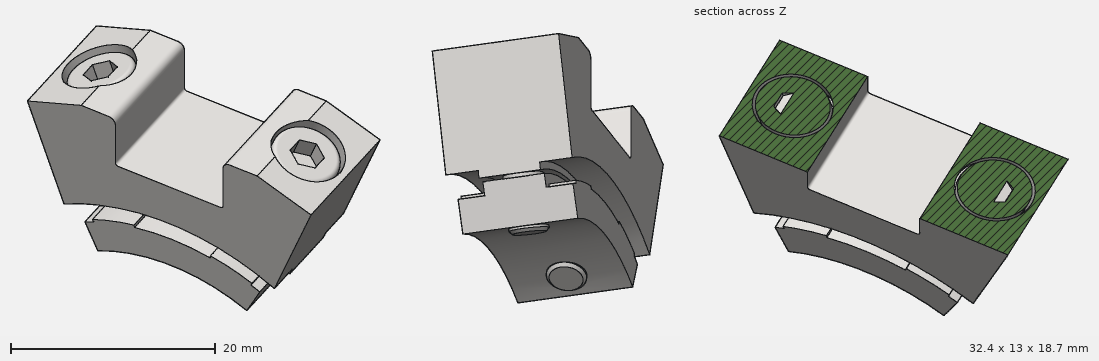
import cadquery as cq
import math

tilt = 20.0
block_width = 32.4
block_depth = 13.0
top_half_width = 10.05
notch_width = 12.28
notch_depth = 6.0
notch_edge_radius = 0.8
notch_corner_radius = 0.3

arc_centre_z = -36.5
block_tongue_radius = 25.0
tongue_step = 0.75
tongue_depth = 6.32
jaw_depth = 11.83
jaw_tongue_radius = 24.57
jaw_ledge_radius = 23.2
jaw_inner_radius = 19.77
jaw_half_angle = 25.5
pad_height = 0.3
pad_start_angle = 10.7
pad_end_angle = 22.8

screw_inset = 4.47
screw_length = 18.02
shank_diameter = 4.0
tip_chamfer = 0.32
head_diameter = 7.0
head_height = shank_diameter
head_edge_radius = 0.5
head_recess = 0.52
socket_width = 3.0
socket_depth = 2.0
counterbore_diameter = 7.5

tilt_rad = math.radians(tilt)
half_width = block_width / 2
shoulder_z = -(half_width - top_half_width) * math.tan(tilt_rad)


def arc_point(radius, angle):
    """Point on a concentric arc, with the angle in degrees from straight up."""
    a = math.radians(angle)
    return radius * math.sin(a), arc_centre_z + radius * math.cos(a)


def extrude_centred(profile, depth):
    return profile.extrude(depth / 2, both=True)


def side_meets_arc(radius):
    """Lower right block corner, where the leaning side reaches an arc."""
    side_offset = half_width * math.cos(tilt_rad) - (shoulder_z - arc_centre_z) * math.sin(tilt_rad)
    angle = math.degrees(math.asin(side_offset / radius)) + tilt
    return arc_point(radius, angle)


def block_slab(bottom_radius, depth):
    corner_x, corner_z = side_meets_arc(bottom_radius)
    profile = (
        cq.Workplane("XZ")
        .moveTo(-top_half_width, 0)
        .lineTo(top_half_width, 0)
        .lineTo(half_width, shoulder_z)
        .lineTo(corner_x, corner_z)
        .threePointArc(arc_point(bottom_radius, 0), (-corner_x, corner_z))
        .lineTo(-half_width, shoulder_z)
        .close()
    )
    return extrude_centred(profile, depth)


def ring_sector(inner_radius, outer_radius, start_angle, end_angle, depth):
    middle_angle = (start_angle + end_angle) / 2
    profile = (
        cq.Workplane("XZ")
        .moveTo(*arc_point(outer_radius, start_angle))
        .threePointArc(arc_point(outer_radius, middle_angle), arc_point(outer_radius, end_angle))
        .lineTo(*arc_point(inner_radius, end_angle))
        .threePointArc(arc_point(inner_radius, middle_angle), arc_point(inner_radius, start_angle))
        .close()
    )
    return extrude_centred(profile, depth)


def make_block():
    block = block_slab(block_tongue_radius + tongue_step, block_depth)
    block = block.union(block_slab(block_tongue_radius, tongue_depth))
    notch = cq.Workplane("XY").box(notch_width, block_depth, 2 * notch_depth)
    notch = notch.edges("|Y and <Z").fillet(notch_corner_radius)
    block = block.cut(notch)
    notch_edges = cq.selectors.BoxSelector(
        (-notch_width / 2 - 0.32, -block_depth, -0.32),
        (notch_width / 2 + 0.32, block_depth, 0.32),
    )
    return block.edges("|Y").edges(notch_edges).fillet(notch_edge_radius)


def make_jaw():
    jaw = ring_sector(jaw_inner_radius, jaw_ledge_radius, -jaw_half_angle, jaw_half_angle, jaw_depth)
    tongue = ring_sector(
        jaw_inner_radius, jaw_tongue_radius, -jaw_half_angle, jaw_half_angle, tongue_depth
    )
    jaw = jaw.union(tongue)
    pad_radius = jaw_ledge_radius + pad_height
    for start, end in ((pad_start_angle, pad_end_angle), (-pad_end_angle, -pad_start_angle)):
        jaw = jaw.union(ring_sector(jaw_inner_radius, pad_radius, start, end, jaw_depth))
    return jaw


def screw_plane(side):
    """Plane of a screw head's top face; side is -1 (left) or 1 (right)."""
    x = half_width - screw_inset * math.cos(tilt_rad) - head_recess * math.sin(tilt_rad)
    z = shoulder_z + screw_inset * math.sin(tilt_rad) - head_recess * math.cos(tilt_rad)
    return cq.Plane(
        origin=(side * x, 0, z),
        xDir=(math.cos(tilt_rad), 0, -side * math.sin(tilt_rad)),
        normal=(side * math.sin(tilt_rad), 0, math.cos(tilt_rad)),
    )


def make_counterbore(plane):
    bore = cq.Workplane(plane).workplane(offset=-head_height).circle(counterbore_diameter / 2)
    return bore.extrude(2 * head_height)


def make_screw(plane):
    head = cq.Workplane(plane).circle(head_diameter / 2).extrude(-head_height)
    head = head.edges(cq.selectors.NearestToPointSelector(plane.toWorldCoords((0, 0, 0)).toTuple()))
    head = head.fillet(head_edge_radius)
    shank = cq.Workplane("XY").circle(shank_diameter / 2).extrude(-screw_length)
    shank = shank.faces("<Z").chamfer(tip_chamfer)
    shank = cq.Workplane(shank.val().moved(plane.location))
    corner_diameter = socket_width / math.cos(math.pi / 6)
    socket = cq.Workplane(plane).transformed(rotate=(0, 0, 90))
    socket = socket.polygon(6, corner_diameter).extrude(-socket_depth)
    return head.union(shank).cut(socket)


result = make_block()
for side in (-1, 1):
    plane = screw_plane(side)
    result = result.cut(make_counterbore(plane)).union(make_screw(plane))
result = result.union(make_jaw())